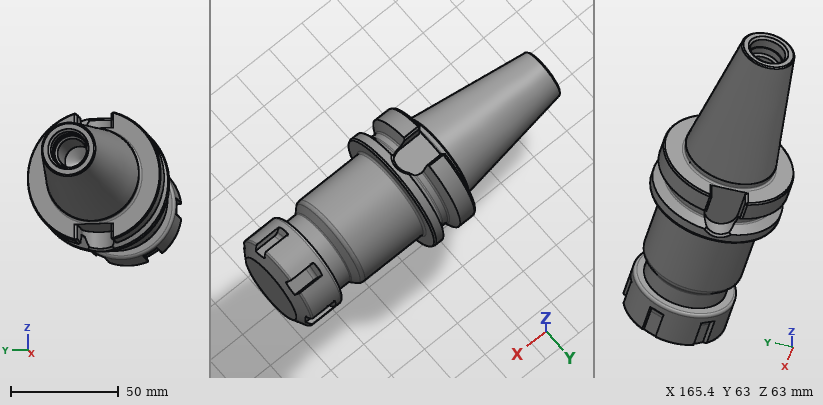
import cadquery as cq
import math


gauge_radius = 44.45 / 2
taper_length = 65.4
taper_slope = 7 / 48
small_end = -taper_length
small_end_radius = gauge_radius - taper_length * taper_slope
small_end_chamfer = 0.6
relief_start = -1.5
relief_radius = 21.7
relief_step = gauge_radius + relief_start * taper_slope - relief_radius
relief_fillet = 1.0

flange_face = 2.0
flange_back = 27.0
flange_radius = 31.5
flange_chamfer_length = 1.0
flange_chamfer_height = 0.5
groove_center = 16.6
groove_radius = 26.4
groove_half_mouth = 5.0
groove_half_floor = groove_half_mouth - (flange_radius - groove_radius) * math.tan(math.radians(30))
groove_fillet = 1.0
drive_slot_width = 16.1
drive_slot_floor = 22.6
drive_slot_end = 23.1
drive_slot_chamfer = 1.1

body_radius = 24.0
body_root_fillet = 1.0
body_end = 64.5
body_end_fillet = 3.0
neck_radius = 20.0
neck_fillet = 0.8
neck_start = body_end + body_radius - neck_radius

pilot_radius = 8.5
pilot_depth = 5.5
mouth_radius = 9.6
thread_radius = 8.0
thread_length = 3.5
drill_radius = 6.9
drill_depth = 30.0
drill_point_angle = 118

nut_face = 77.2
nut_end = 100.0
nut_radius = 25.0
nut_rear_fillet = 1.5
nut_cone_start = 95.75
nut_cone_fillet = 1.15
nut_end_radius = 18.3
wrench_slot_count = 6
wrench_slot_width = 7.4
wrench_slot_floor = 22.0
wrench_slot_start = 81.7
wrench_slot_fillet = 3.0


def revolve_about_x(profile):
    """Turn a closed (x, radius) profile about the X axis."""
    return profile.close().revolve(360, (0, 0, 0), (1, 0, 0))


def circles_at(x, radius):
    """Selector for the turned edges at one axial place and radius."""
    tolerance = 0.01
    return cq.selectors.BoxSelector(
        (x - tolerance, -radius - tolerance, -radius - tolerance),
        (x + tolerance, radius + tolerance, radius + tolerance),
        boundingbox=True,
    ) - cq.selectors.BoxSelector(
        (x - tolerance, -radius + tolerance, -radius + tolerance),
        (x + tolerance, radius - tolerance, radius - tolerance),
        boundingbox=True,
    )


def turned_holder():
    """Outside of the holder: taper, flange, body and neck."""
    relief_end = flange_face - relief_fillet
    arc_offset = relief_fillet * math.sin(math.radians(45))
    profile = (
        cq.Workplane("XY")
        .moveTo(small_end, 0)
        .lineTo(small_end, small_end_radius - small_end_chamfer)
        .lineTo(small_end + small_end_chamfer, small_end_radius + small_end_chamfer * taper_slope)
        .lineTo(relief_start, relief_radius + relief_step)
        .lineTo(relief_start + relief_step, relief_radius)
        .lineTo(relief_end, relief_radius)
        .threePointArc(
            (relief_end + arc_offset, relief_radius + relief_fillet - arc_offset),
            (flange_face, relief_radius + relief_fillet),
        )
        .lineTo(flange_face, flange_radius - flange_chamfer_height)
        .lineTo(flange_face + flange_chamfer_length, flange_radius)
        .lineTo(flange_back - flange_chamfer_length, flange_radius)
        .lineTo(flange_back, flange_radius - flange_chamfer_height)
        .lineTo(flange_back, body_radius)
        .lineTo(body_end, body_radius)
        .lineTo(neck_start, neck_radius)
        .lineTo(nut_face, neck_radius)
        .lineTo(nut_face, 0)
    )
    holder = revolve_about_x(profile)
    holder = holder.edges(circles_at(flange_back, body_radius)).fillet(body_root_fillet)
    holder = holder.edges(circles_at(neck_start, neck_radius)).fillet(neck_fillet)
    return holder.edges(circles_at(body_end, body_radius)).fillet(body_end_fillet)


def cut_drive_slots(holder):
    """Two round-ended slots across the flange, above and below the axis, with broken edges."""
    half_width = drive_slot_width / 2
    straight_end = drive_slot_end - half_width
    cutter = (
        cq.Workplane("XY", origin=(0, 0, drive_slot_floor))
        .moveTo(flange_face, -half_width)
        .lineTo(straight_end, -half_width)
        .threePointArc((drive_slot_end, 0), (straight_end, half_width))
        .lineTo(flange_face, half_width)
        .close()
        .extrude(flange_radius)
    )
    for turn in (0, 180):
        holder = holder.cut(cutter.rotate((0, 0, 0), (1, 0, 0), turn))

    margin = 0.1
    side_limit = half_width + margin
    top_limit = flange_radius + margin
    above_floor = drive_slot_floor + margin
    rim_low = flange_radius - 2 * drive_slot_chamfer
    for side in (-1, 1):
        entry_edges = cq.selectors.BoxSelector(
            (flange_face - margin, -side_limit, side * above_floor),
            (flange_face + margin, side_limit, side * top_limit),
        )
        outer_edges = cq.selectors.BoxSelector(
            (flange_face - margin, -side_limit, side * rim_low),
            (drive_slot_end, side_limit, side * top_limit),
        )
        holder = holder.edges(entry_edges + outer_edges).chamfer(drive_slot_chamfer)
    return holder


def cut_gripper_groove(holder):
    """V groove around the flange with a rounded flat floor."""
    profile = (
        cq.Workplane("XY")
        .moveTo(groove_center - groove_half_mouth, flange_radius)
        .lineTo(groove_center - groove_half_floor, groove_radius)
        .lineTo(groove_center + groove_half_floor, groove_radius)
        .lineTo(groove_center + groove_half_mouth, flange_radius)
    )
    groove = revolve_about_x(profile)
    for side in (-1, 1):
        floor_edge = circles_at(groove_center + side * groove_half_floor, groove_radius)
        groove = groove.edges(floor_edge).fillet(groove_fillet)
    return holder.cut(groove)


def cut_stud_bore(holder):
    """Blind pull stud bore in the small taper end."""
    point_length = drill_radius / math.tan(math.radians(drill_point_angle / 2))
    pilot_end = small_end + pilot_depth
    thread_end = pilot_end + thread_length
    drill_end = small_end + drill_depth
    profile = (
        cq.Workplane("XY")
        .moveTo(small_end, 0)
        .lineTo(small_end, mouth_radius)
        .lineTo(small_end + mouth_radius - pilot_radius, pilot_radius)
        .lineTo(pilot_end, pilot_radius)
        .lineTo(pilot_end, thread_radius)
        .lineTo(thread_end, thread_radius)
        .lineTo(thread_end + thread_radius - drill_radius, drill_radius)
        .lineTo(drill_end, drill_radius)
        .lineTo(drill_end + point_length, 0)
    )
    return holder.cut(revolve_about_x(profile))


def clamping_nut():
    """Nut on the end of the neck, with wrench slots around its rim."""
    profile = (
        cq.Workplane("XY")
        .moveTo(nut_face, 0)
        .lineTo(nut_face, nut_radius)
        .lineTo(nut_cone_start, nut_radius)
        .lineTo(nut_end, nut_end_radius)
        .lineTo(nut_end, 0)
    )
    nut = revolve_about_x(profile)
    nut = nut.edges(circles_at(nut_face, nut_radius)).fillet(nut_rear_fillet)
    nut = nut.edges(circles_at(nut_cone_start, nut_radius)).fillet(nut_cone_fillet)

    slot_depth = nut_radius - wrench_slot_floor
    clearance = 2.0
    floor_start = wrench_slot_start + slot_depth
    slot = (
        cq.Workplane("XZ")
        .moveTo(floor_start, wrench_slot_floor)
        .lineTo(nut_end, wrench_slot_floor)
        .lineTo(nut_end, nut_radius + clearance)
        .lineTo(wrench_slot_start - clearance, nut_radius + clearance)
        .close()
        .extrude(wrench_slot_width / 2, both=True)
    )
    run_out_corner = cq.selectors.NearestToPointSelector((floor_start, 0, wrench_slot_floor))
    slot = slot.edges(run_out_corner).fillet(wrench_slot_fillet)
    first_slot_angle = 90
    for index in range(wrench_slot_count):
        angle = first_slot_angle + index * 360 / wrench_slot_count
        nut = nut.cut(slot.rotate((0, 0, 0), (1, 0, 0), angle))
    return nut


holder = cut_stud_bore(cut_gripper_groove(cut_drive_slots(turned_holder())))
nut = clamping_nut()

result = cq.Compound.makeCompound([holder.val(), nut.val()])